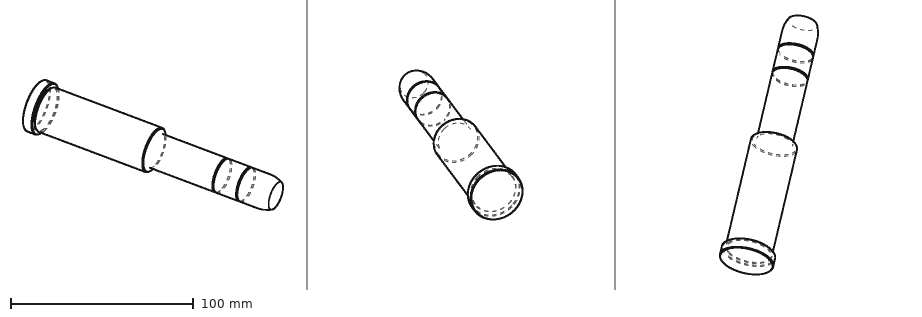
import cadquery as cq
import math

LENGTH = 151.0

HEAD_DIAMETER = 30.0
HEAD_LENGTH = 6.0
HEAD_CHAMFER = 0.5

BODY_DIAMETER = 26.0
BODY_END = 74.7
BODY_CHAMFER = 0.6

RELIEF_DEPTH = 0.5
RELIEF_FLAT = 0.3
RELIEF_LENGTH = 0.9

SHANK_DIAMETER = 20.0
SHANK_FILLET = 0.9

NOSE_LENGTH = 7.2
NOSE_ARC_RADIUS = 15.0

GROOVE_STARTS = (116.5, 131.5)
GROOVE_WIDTH = 0.9
GROOVE_DEPTH = 0.2

head_radius = HEAD_DIAMETER / 2
body_radius = BODY_DIAMETER / 2
shank_radius = SHANK_DIAMETER / 2
relief_radius = body_radius - RELIEF_DEPTH
nose_start = LENGTH - NOSE_LENGTH


def nose_radius(distance):
    """Pin radius at a distance along the nose, whose arc is tangent to the shank."""
    drop = NOSE_ARC_RADIUS - math.sqrt(NOSE_ARC_RADIUS**2 - distance**2)
    return shank_radius - drop


def turned_pin():
    """Half profile in the XY plane, revolved about X."""
    fillet_center = (BODY_END + SHANK_FILLET, shank_radius + SHANK_FILLET)
    fillet_offset = SHANK_FILLET * math.sqrt(0.5)
    fillet_middle = (fillet_center[0] - fillet_offset, fillet_center[1] - fillet_offset)
    profile = (
        cq.Workplane("XY")
        .moveTo(0, 0)
        .lineTo(0, head_radius - HEAD_CHAMFER)
        .lineTo(HEAD_CHAMFER, head_radius)
        .lineTo(HEAD_LENGTH - HEAD_CHAMFER, head_radius)
        .lineTo(HEAD_LENGTH, head_radius - HEAD_CHAMFER)
        .lineTo(HEAD_LENGTH, relief_radius)
        .lineTo(HEAD_LENGTH + RELIEF_FLAT, relief_radius)
        .lineTo(HEAD_LENGTH + RELIEF_LENGTH, body_radius)
        .lineTo(BODY_END - BODY_CHAMFER, body_radius)
        .lineTo(BODY_END, body_radius - BODY_CHAMFER)
        .lineTo(BODY_END, fillet_center[1])
        .threePointArc(fillet_middle, (fillet_center[0], shank_radius))
        .lineTo(nose_start, shank_radius)
        .threePointArc(
            (nose_start + NOSE_LENGTH / 2, nose_radius(NOSE_LENGTH / 2)),
            (LENGTH, nose_radius(NOSE_LENGTH)),
        )
        .lineTo(LENGTH, 0)
        .close()
    )
    return profile.revolve(360, (0, 0, 0), (1, 0, 0))


def groove_cutter(start):
    """Ring that cuts one shallow groove around the shank."""
    return (
        cq.Workplane("YZ", origin=(start, 0, 0))
        .circle(shank_radius + GROOVE_DEPTH)
        .circle(shank_radius - GROOVE_DEPTH)
        .extrude(GROOVE_WIDTH)
    )


result = turned_pin()
for groove_start in GROOVE_STARTS:
    result = result.cut(groove_cutter(groove_start))